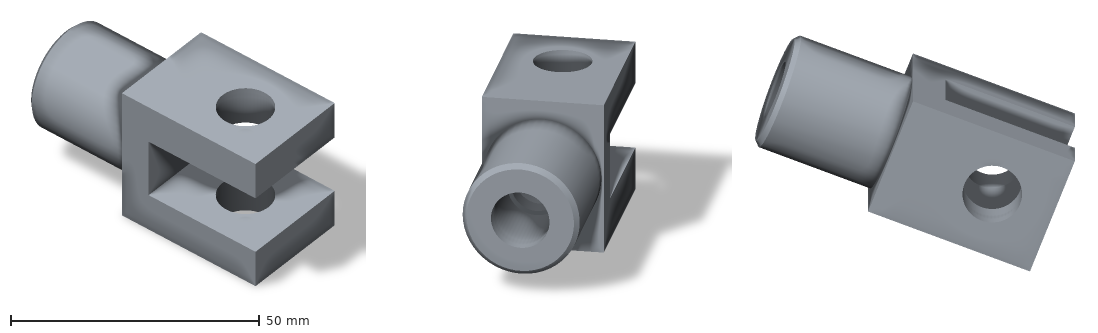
import cadquery as cq
import math

total_length = 60.0
shank_length = 25.0
head_length = total_length - shank_length
head_width = 25.0
head_height = 32.0
slot_height = 14.0
slot_depth = 28.0

pin_diameter = 12.0
pin_to_fork_end = 13.0

shank_diameter = 24.0
shank_chamfer = 1.0
thread_diameter = 12.0
thread_depth = 18.0
drill_diameter = 10.2
drill_depth = 22.0
drill_point_angle = 118.0


def make_head():
    """Fork block with the slot and the pin hole; its back face is at the shank shoulder."""
    block = cq.Workplane("XY").box(head_length, head_width, head_height, centered=(False, True, True))
    slot = (
        cq.Workplane("XY")
        .box(slot_depth, head_width, slot_height, centered=(False, True, True))
        .translate((head_length - slot_depth, 0, 0))
    )
    pin_hole = (
        cq.Workplane("XY")
        .center(head_length - pin_to_fork_end, 0)
        .circle(pin_diameter / 2)
        .extrude(head_height / 2, both=True)
    )
    return block.cut(slot).cut(pin_hole).translate((shank_length, 0, 0))


def make_shank():
    """Cylinder along X with its free end at X = 0 chamfered."""
    shank = cq.Workplane("YZ").circle(shank_diameter / 2).extrude(shank_length)
    return shank.faces("<X").chamfer(shank_chamfer)


def make_bore():
    """Stepped bore with a conical drill point, revolved about the X axis."""
    thread_radius = thread_diameter / 2
    drill_radius = drill_diameter / 2
    point_length = drill_radius / math.tan(math.radians(drill_point_angle / 2))
    profile = [
        (0, 0),
        (0, thread_radius),
        (thread_depth, thread_radius),
        (thread_depth, drill_radius),
        (drill_depth, drill_radius),
        (drill_depth + point_length, 0),
    ]
    return cq.Workplane("XY").polyline(profile).close().revolve(360, (0, 0, 0), (1, 0, 0))


result = make_head().union(make_shank()).cut(make_bore())